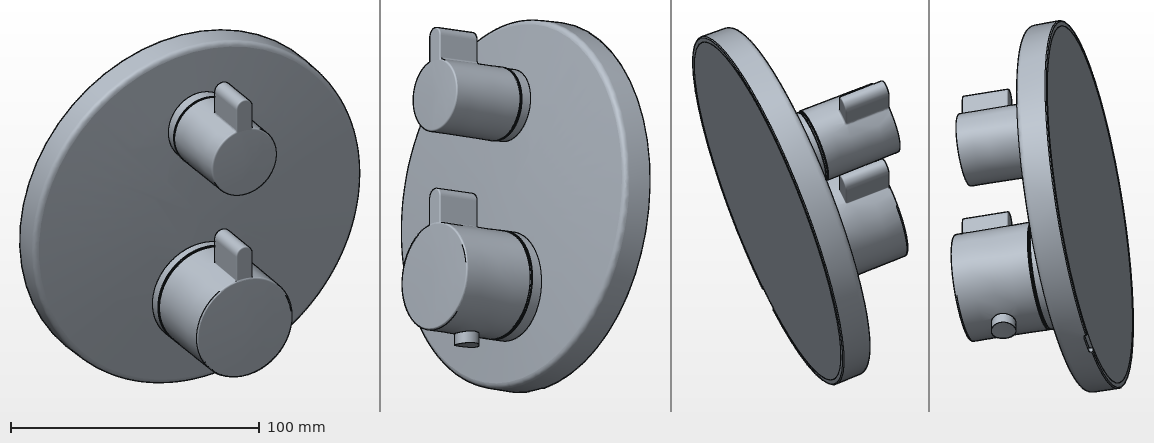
import cadquery as cq
import math

PLATE_RADIUS = 75.0
PLATE_REAR_CHAMFER = 0.5
RIM_FRONT_RADIUS = 74.7
RIM_FRONT_X = 12.6
RIM_FILLET = 2.2
DOME_APEX_X = 15.7

BACKING_RADIUS = 72.7
BACKING_THICKNESS = 1.5

NOTCH_WIDTH = 10.3
NOTCH_DEPTH = 1.5
NOTCH_CORNER_RADIUS = 1.2

SLEEVE_SEAT_X = 12.0
EDGE_CHAMFER = 0.3
KNOB_TAPER = 0.22
KNOB_FRONT_FILLET = 0.7
KNOB_DOME_HEIGHT = 0.6
RING_WIDTH = 0.6
LEVER_WIDTH = 7.3
LEVER_REAR_X = 33.0
LEVER_FRONT_X = 52.0
LEVER_EDGE_FILLET = 0.6

UPPER_Z = 40.0
UPPER_KNOB_RADIUS = 15.0
UPPER_SLEEVE_RADIUS = 14.7
UPPER_RING_RADIUS = 14.2
UPPER_KNOB_REAR_X = 20.0
UPPER_KNOB_FRONT_X = 52.0
UPPER_LEVER_REACH = 27.7
UPPER_LEVER_BASE_FILLET = 0.9

LOWER_Z = -34.0
LOWER_KNOB_RADIUS = 22.0
LOWER_SLEEVE_RADIUS = 22.0
LOWER_RING_RADIUS = 20.8
LOWER_KNOB_REAR_X = 20.2
LOWER_KNOB_FRONT_X = 52.3
LOWER_LEVER_REACH = 36.0
LOWER_LEVER_BASE_FILLET = 0.3

BUTTON_X = 35.7
BUTTON_RADIUS = 5.0
BUTTON_REACH = 26.5
BUTTON_DISH = 0.5
BUTTON_SEAT_DEPTH = 6.0


def cylinder_along_x(radius, x_start, x_end, z_axis):
    """Solid cylinder parallel to X whose axis is at height z_axis."""
    return cq.Workplane("YZ", origin=(x_start, 0, z_axis)).circle(radius).extrude(x_end - x_start)


def revolve_about_x(profile):
    """Revolve a closed XY profile, whose Y is the radius, once around the X axis."""
    return profile.close().revolve(360, (0, 0, 0), (1, 0, 0))


def sag(chord_radius, height, radius):
    """Drop below the apex, at the given radius, of a dome this high over chord_radius."""
    sphere_radius = (chord_radius ** 2 + height ** 2) / (2 * height)
    return sphere_radius - math.sqrt(sphere_radius ** 2 - radius ** 2)


def make_plate():
    middle_radius = RIM_FRONT_RADIUS / 2
    middle_x = DOME_APEX_X - sag(RIM_FRONT_RADIUS, DOME_APEX_X - RIM_FRONT_X, middle_radius)
    profile = (
        cq.Workplane("XY")
        .moveTo(0, 0)
        .lineTo(0, PLATE_RADIUS - PLATE_REAR_CHAMFER)
        .lineTo(PLATE_REAR_CHAMFER, PLATE_RADIUS)
        .lineTo(RIM_FRONT_X, RIM_FRONT_RADIUS)
        .threePointArc((middle_x, middle_radius), (DOME_APEX_X, 0))
    )
    front_edge = cq.selectors.NearestToPointSelector((RIM_FRONT_X, 0, 0))
    plate = revolve_about_x(profile).edges(front_edge).fillet(RIM_FILLET)
    plate = plate.cut(cylinder_along_x(BACKING_RADIUS, 0, BACKING_THICKNESS, 0))
    for radius, z_axis in ((UPPER_SLEEVE_RADIUS, UPPER_Z), (LOWER_SLEEVE_RADIUS, LOWER_Z)):
        plate = plate.cut(cylinder_along_x(radius, SLEEVE_SEAT_X, DOME_APEX_X, z_axis))
    return plate.cut(make_notch_cutter())


def make_notch_cutter():
    """Block that crosses the rim below the backing disc, with rounded inner corners."""
    block = cq.Workplane("XY").box(
        NOTCH_DEPTH, NOTCH_WIDTH, PLATE_RADIUS, centered=(False, True, False)
    )
    block = block.translate((0, 0, -PLATE_RADIUS)).edges("|Z and >X").fillet(NOTCH_CORNER_RADIUS)
    return block.cut(cylinder_along_x(BACKING_RADIUS, 0, NOTCH_DEPTH, 0))


def make_backing():
    return cylinder_along_x(BACKING_RADIUS, 0, BACKING_THICKNESS, 0)


def make_sleeve(radius, z_axis, knob_rear_x):
    sleeve = cylinder_along_x(radius, SLEEVE_SEAT_X, knob_rear_x - RING_WIDTH, z_axis)
    return sleeve.faces(">X").chamfer(EDGE_CHAMFER)


def make_ring(radius, z_axis, knob_rear_x):
    return cylinder_along_x(radius, knob_rear_x - RING_WIDTH, knob_rear_x, z_axis)


def make_lever(reach):
    """Flat lever rising from the knob axis, with a full-round tip and softened end edges."""
    half_width = LEVER_WIDTH / 2
    lever = (
        cq.Workplane("YZ", origin=(LEVER_REAR_X, 0, 0))
        .moveTo(-half_width, 0)
        .lineTo(-half_width, reach - half_width)
        .threePointArc((0, reach), (half_width, reach - half_width))
        .lineTo(half_width, 0)
        .close()
        .extrude(LEVER_FRONT_X - LEVER_REAR_X)
    )
    return lever.faces("<X or >X").edges("not <Z").fillet(LEVER_EDGE_FILLET)


def make_dome(base_radius, base_x):
    """Shallow spherical cap on the front of a knob."""
    middle_radius = base_radius / 2
    middle_x = base_x + KNOB_DOME_HEIGHT - sag(base_radius, KNOB_DOME_HEIGHT, middle_radius)
    return revolve_about_x(
        cq.Workplane("XY")
        .moveTo(base_x, 0)
        .lineTo(base_x, base_radius)
        .threePointArc((middle_x, middle_radius), (base_x + KNOB_DOME_HEIGHT, 0))
    )


def make_knob(radius, z_axis, rear_x, front_x, lever_reach, base_fillet):
    """Slightly tapered knob with a domed front and a lever on top."""
    front_radius = radius - KNOB_TAPER
    body = revolve_about_x(
        cq.Workplane("XY")
        .moveTo(rear_x, 0)
        .lineTo(rear_x, radius - EDGE_CHAMFER)
        .lineTo(rear_x + EDGE_CHAMFER, radius)
        .lineTo(front_x, front_radius)
        .lineTo(front_x, 0)
    )
    body = body.faces(">X").edges().fillet(KNOB_FRONT_FILLET)
    knob = body.union(make_lever(lever_reach))
    base_depth = LEVER_WIDTH / 2
    lever_base = cq.selectors.BoxSelector(
        (LEVER_REAR_X - base_depth, -LEVER_WIDTH, radius - base_depth),
        (LEVER_FRONT_X - LEVER_EDGE_FILLET / 2, LEVER_WIDTH, radius + LEVER_EDGE_FILLET / 2),
    )
    knob = knob.edges(lever_base).fillet(base_fillet)
    knob = knob.union(make_dome(front_radius - KNOB_FRONT_FILLET, front_x))
    return knob.translate((0, 0, z_axis))


def button_seat():
    """Cylinder that fills the button's hole in the lower knob."""
    depth = BUTTON_SEAT_DEPTH + BUTTON_REACH - LOWER_KNOB_RADIUS
    end_z = LOWER_Z - BUTTON_REACH
    return cq.Workplane("XY", origin=(BUTTON_X, 0, end_z)).circle(BUTTON_RADIUS).extrude(depth)


def make_button():
    """Round button whose end is hollowed by a shallow trough along Y."""
    end_z = LOWER_Z - BUTTON_REACH
    trough = (
        cq.Workplane("XZ", origin=(BUTTON_X, 0, end_z))
        .moveTo(-BUTTON_RADIUS, 0)
        .threePointArc((0, BUTTON_DISH), (BUTTON_RADIUS, 0))
        .close()
        .extrude(BUTTON_RADIUS, both=True)
    )
    return button_seat().cut(trough)


plate = make_plate()
backing = make_backing()
upper_sleeve = make_sleeve(UPPER_SLEEVE_RADIUS, UPPER_Z, UPPER_KNOB_REAR_X)
upper_ring = make_ring(UPPER_RING_RADIUS, UPPER_Z, UPPER_KNOB_REAR_X)
upper_knob = make_knob(
    UPPER_KNOB_RADIUS,
    UPPER_Z,
    UPPER_KNOB_REAR_X,
    UPPER_KNOB_FRONT_X,
    UPPER_LEVER_REACH,
    UPPER_LEVER_BASE_FILLET,
)
lower_sleeve = make_sleeve(LOWER_SLEEVE_RADIUS, LOWER_Z, LOWER_KNOB_REAR_X)
lower_ring = make_ring(LOWER_RING_RADIUS, LOWER_Z, LOWER_KNOB_REAR_X)
lower_knob = make_knob(
    LOWER_KNOB_RADIUS,
    LOWER_Z,
    LOWER_KNOB_REAR_X,
    LOWER_KNOB_FRONT_X,
    LOWER_LEVER_REACH,
    LOWER_LEVER_BASE_FILLET,
).cut(button_seat())
button = make_button()

bodies = [
    plate, backing, upper_sleeve, upper_ring, upper_knob, lower_sleeve, lower_ring, lower_knob, button,
]
result = cq.Compound.makeCompound([body.solids().val() for body in bodies])